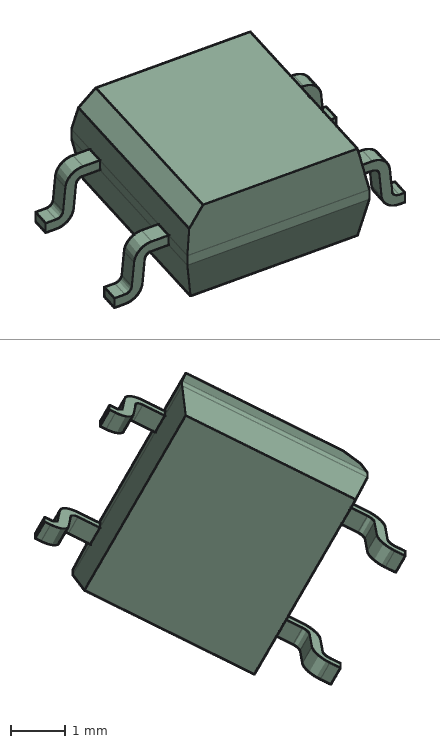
import cadquery as cq
import math

TOTAL_LENGTH = 6.2
TOTAL_HEIGHT = 2.18

BODY_X = 4.29
BODY_Y = 3.89
STANDOFF = 0.12
WALL_DRAFT = 10.0
CHAMFER_SETBACK = 0.43
CHAMFER_DEPTH = 0.385

LEAD_WIDTH = 0.38
LEAD_THICKNESS = 0.23
LEAD_PITCH = 2.54
LEAD_PAIR_X = -0.005
LEAD_TOP = 1.26
INNER_BEND_RADIUS = 0.15
LEG_SLOPE = 85.0
BACK_FOOT_FLAT = 0.125
FRONT_FOOT_FLAT = 0.225

band_bottom = LEAD_TOP - LEAD_THICKNESS


def make_housing():
    half_y = BODY_Y / 2
    band = cq.Workplane("XY").workplane(offset=band_bottom).rect(BODY_X, BODY_Y).extrude(LEAD_THICKNESS)
    upper = (
        cq.Workplane("XY").workplane(offset=LEAD_TOP).rect(BODY_X, BODY_Y)
        .extrude(TOTAL_HEIGHT - LEAD_TOP, taper=WALL_DRAFT)
    )
    lower = (
        cq.Workplane("XY").workplane(offset=band_bottom).rect(BODY_X, BODY_Y)
        .extrude(STANDOFF - band_bottom, taper=WALL_DRAFT)
    )
    body = band.union(upper).union(lower)

    chamfer_bottom = TOTAL_HEIGHT - CHAMFER_DEPTH
    wall_inset = (chamfer_bottom - LEAD_TOP) * math.tan(math.radians(WALL_DRAFT))
    top_edge = -half_y + CHAMFER_SETBACK
    slope = CHAMFER_DEPTH / (CHAMFER_SETBACK - wall_inset)
    outer_z = chamfer_bottom - wall_inset * slope
    chamfer = (
        cq.Workplane("YZ")
        .polyline([(top_edge, TOTAL_HEIGHT), (-half_y, outer_z), (-half_y, TOTAL_HEIGHT)])
        .close()
        .extrude(BODY_X / 2, both=True)
    )
    return body.cut(chamfer)


def lead_end_points(side, foot_flat):
    """Centreline points (y, z) from foot tip to shoulder; side is 1 for the +Y end, -1 for the -Y end."""
    radius = INNER_BEND_RADIUS + LEAD_THICKNESS / 2
    angle = math.radians(LEG_SLOPE)
    foot_z = LEAD_THICKNESS / 2
    top_z = LEAD_TOP - LEAD_THICKNESS / 2
    bend_run = radius * math.sin(angle)
    bend_rise = radius * (1 - math.cos(angle))
    mid_run = radius * math.sin(angle / 2)
    mid_rise = radius * (1 - math.cos(angle / 2))
    leg_run = (top_z - foot_z - 2 * bend_rise) / math.tan(angle)

    tip_y = TOTAL_LENGTH / 2
    foot_y = tip_y - foot_flat
    shoulder_y = foot_y - 2 * bend_run - leg_run
    points = [
        (tip_y, foot_z),
        (foot_y, foot_z),
        (foot_y - mid_run, foot_z + mid_rise),
        (foot_y - bend_run, foot_z + bend_rise),
        (shoulder_y + bend_run, top_z - bend_rise),
        (shoulder_y + mid_run, top_z - mid_rise),
        (shoulder_y, top_z),
    ]
    return [(side * y, z) for y, z in points]


def make_lead(x):
    back_tip, *back_end = lead_end_points(1, BACK_FOOT_FLAT)
    front_tip, *front_end = lead_end_points(-1, FRONT_FOOT_FLAT)
    back_foot, back_foot_mid, back_leg_low, back_leg_high, back_shoulder_mid, back_shoulder = back_end
    front_foot, front_foot_mid, front_leg_low, front_leg_high, front_shoulder_mid, front_shoulder = front_end

    path = (
        cq.Workplane("YZ", origin=(x, 0, 0))
        .moveTo(*back_tip)
        .lineTo(*back_foot)
        .threePointArc(back_foot_mid, back_leg_low)
        .lineTo(*back_leg_high)
        .threePointArc(back_shoulder_mid, back_shoulder)
        .lineTo(*front_shoulder)
        .threePointArc(front_shoulder_mid, front_leg_high)
        .lineTo(*front_leg_low)
        .threePointArc(front_foot_mid, front_foot)
        .lineTo(*front_tip)
    )
    return (
        cq.Workplane("XZ", origin=(x, back_tip[0], back_tip[1]))
        .rect(LEAD_WIDTH, LEAD_THICKNESS)
        .sweep(path)
    )


leads = [make_lead(LEAD_PAIR_X + side * LEAD_PITCH / 2) for side in (-1, 1)]

housing = make_housing()
for lead in leads:
    housing = housing.cut(lead)

result = cq.Compound.makeCompound([housing.solids().val(), *[lead.val() for lead in leads]])